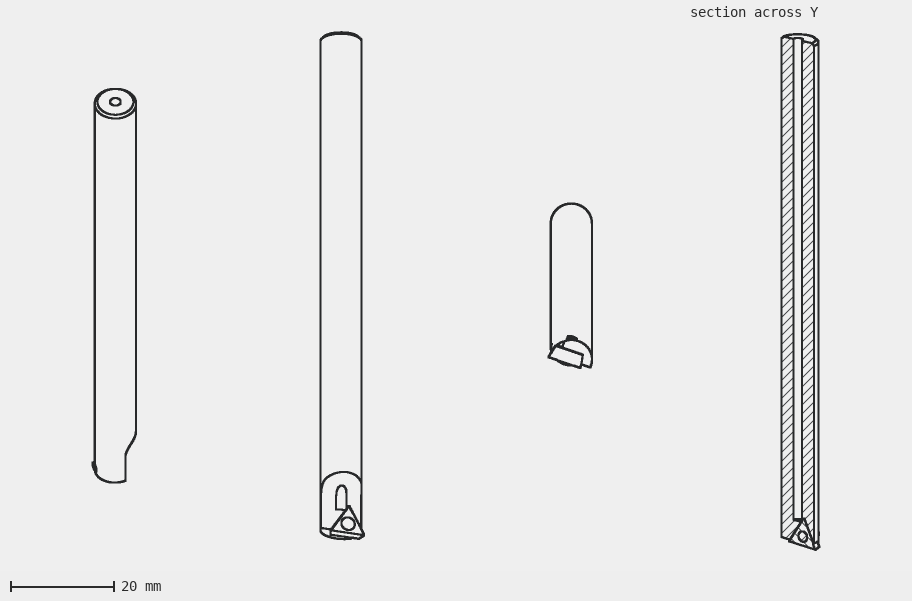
import cadquery as cq
import math

BAR_LENGTH = 103.0
BAR_DIAMETER = 8.0
BAR_RADIUS = BAR_DIAMETER / 2
TOP_CHAMFER = 0.5
COOLANT_DIAMETER = 2.1
COOLANT_END_Z = 5.1

FLAT_Y = 0.2
RUN_OUT_TOP_Z = 11.5
RUN_OUT_ANGLE = 24.0
RUN_OUT_FILLET = 3.4
END_FACE_Z = 0.7
TIP_CHAMFER_WIDTH = 1.4
TIP_CHAMFER_TOP_Z = 1.3
CUT_MARGIN = 2.1

INSERT_INSCRIBED_RADIUS = 2.0
INSERT_THICKNESS = 2.6
INSERT_RELIEF_ANGLE = 7.0
INSERT_NOSE_RADIUS = 0.1
INSERT_CENTRE_X = -1.2
INSERT_CENTRE_Y = 0.7
INSERT_CENTRE_Z = 2.2
LEAD_ANGLE = 4.0
RAKE_TILT = 4.0

SCREW_HEAD_DIAMETER = 2.7
SCREW_HEAD_DEPTH = 0.8
SCREW_DIAMETER = 1.9
SCREW_LENGTH = 4.6


def make_insert_plane():
    """Plane on the rake face: its x follows the end cutting edge, its normal leaves the insert."""
    lead = math.radians(LEAD_ANGLE)
    tilt = math.radians(RAKE_TILT)
    normal = cq.Vector(0, math.cos(tilt), math.sin(tilt))
    edge = cq.Vector(-math.cos(lead), math.sin(lead) * math.sin(tilt), -math.sin(lead) * math.cos(tilt))
    return cq.Plane(
        origin=(INSERT_CENTRE_X, INSERT_CENTRE_Y, INSERT_CENTRE_Z), xDir=edge, normal=normal
    )


def make_insert_blank(plane):
    """Triangle with rounded noses, tapering away from the rake face."""
    half_side = INSERT_INSCRIBED_RADIUS * math.sqrt(3)
    corners = [
        (-half_side, -INSERT_INSCRIBED_RADIUS),
        (half_side, -INSERT_INSCRIBED_RADIUS),
        (0, 2 * INSERT_INSCRIBED_RADIUS),
    ]
    outline = cq.Sketch().polygon(corners + corners[:1]).vertices().fillet(INSERT_NOSE_RADIUS)
    return cq.Workplane(plane).placeSketch(outline).extrude(-INSERT_THICKNESS, taper=INSERT_RELIEF_ANGLE)


def make_screw(plane):
    """Countersunk head flush with the rake face and a plain shank through the bar."""
    head_radius = SCREW_HEAD_DIAMETER / 2
    shank_radius = SCREW_DIAMETER / 2
    half_section = [
        (0, 0),
        (head_radius, 0),
        (shank_radius, -SCREW_HEAD_DEPTH),
        (shank_radius, -SCREW_LENGTH),
        (0, -SCREW_LENGTH),
    ]
    section_plane = cq.Plane(origin=plane.origin, xDir=plane.xDir, normal=plane.xDir.cross(plane.zDir))
    return cq.Workplane(section_plane).polyline(half_section).close().revolve(360, (0, 0), (0, 1))


def make_relief():
    """Cutter that leaves the flat and its sloping, filleted run-out on the +Y side."""
    outer_y = BAR_RADIUS + CUT_MARGIN
    slope = math.tan(math.radians(RUN_OUT_ANGLE))
    corner_z = RUN_OUT_TOP_Z - slope * (BAR_RADIUS - FLAT_Y)
    outline = [
        (FLAT_Y, -CUT_MARGIN),
        (FLAT_Y, corner_z),
        (outer_y, RUN_OUT_TOP_Z + slope * CUT_MARGIN),
        (outer_y, -CUT_MARGIN),
    ]
    cutter = cq.Workplane("YZ").polyline(outline).close().extrude(BAR_RADIUS + CUT_MARGIN, both=True)
    inner_corner = cq.selectors.NearestToPointSelector((0, FLAT_Y, corner_z))
    return cutter.edges(inner_corner).fillet(RUN_OUT_FILLET)


def make_end_cutter():
    """Cutter for the end face, parallel to the end cutting edge, and its chamfer at the tip."""
    reach = BAR_RADIUS + CUT_MARGIN
    slope = math.tan(math.radians(LEAD_ANGLE))
    chamfer_x = TIP_CHAMFER_WIDTH - BAR_RADIUS
    outline = [
        (-reach, -CUT_MARGIN),
        (reach, -CUT_MARGIN),
        (reach, END_FACE_Z + slope * reach),
        (chamfer_x, END_FACE_Z + slope * chamfer_x),
        (-BAR_RADIUS, TIP_CHAMFER_TOP_Z),
        (-reach, TIP_CHAMFER_TOP_Z),
    ]
    return cq.Workplane("XZ").polyline(outline).close().extrude(reach, both=True)


def make_bar(insert_blank, screw):
    """Shank with its coolant hole, relieved end, insert pocket and screw hole."""
    shank = cq.Workplane("XY").circle(BAR_RADIUS).extrude(BAR_LENGTH)
    shank = shank.faces(">Z").chamfer(TOP_CHAMFER)
    coolant_hole = (
        cq.Workplane("XY", origin=(0, 0, COOLANT_END_Z))
        .circle(COOLANT_DIAMETER / 2)
        .extrude(BAR_LENGTH - COOLANT_END_Z)
    )
    relieved = shank.cut(coolant_hole).cut(make_relief()).cut(make_end_cutter())
    return relieved.cut(insert_blank).cut(screw)


insert_plane = make_insert_plane()
insert_blank = make_insert_blank(insert_plane)
screw = make_screw(insert_plane)
insert = insert_blank.cut(screw)
bar = make_bar(insert_blank, screw)

result = cq.Compound.makeCompound([bar.val(), insert.val(), screw.val()])